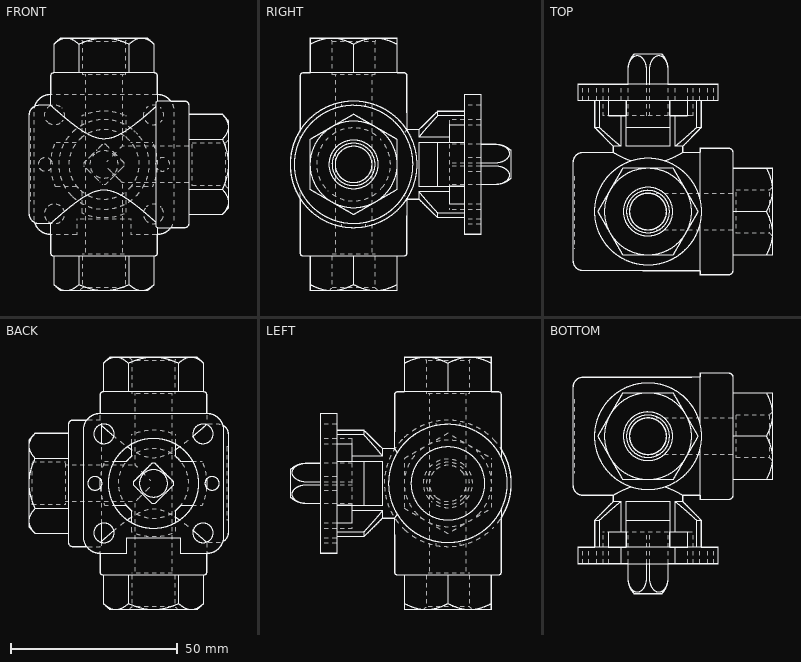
import cadquery as cq
import math


body_dia = 35.5
body_start_x = -22.5
body_end_fillet = 3.0
cap_recess_dia = 22.0
cap_recess_depth = 0.45
collar_dia = 38.0
collar_start_x = 15.6
collar_end_x = 25.5
collar_edge_fillet = 1.4

branch_dia = 32.0
branch_half_length = 27.5
branch_edge_fillet = 0.9

hex_flats = 26.05
hex_chamfer_height = 1.8
side_port_end_x = 37.3
branch_port_end_z = 37.85
bore_dia = 11.0
thread_dia = 12.8
thread_depth = 11.0
mouth_dia = 14.7
mouth_depth = (mouth_dia - thread_dia) / 2

neck_dia = 21.0
neck_shoulder_y = 19.6
core_end_y = 28.8
post_cone_end_y = 25.2
post_circle_dia = branch_dia
post_width = 13.2
mount_bore_dia = 27.0
plate_start_y = 33.2
plate_thickness = 5.0
plate_side = 42.0
plate_corner_radius = 5.0
plate_end_y = plate_start_y + plate_thickness

corner_hole_dia = 6.0
corner_hole_offset = 14.8
edge_hole_dia = 4.2
edge_hole_offset = 17.6
notch_width = 16.05
notch_depth = 4.7

stem_dia = 12.1
stem_flats = 9.15
stem_end_y = 47.2
stem_tip_dia = 8.3
stem_tip_start_y = 42.3


def rod(plane, start, end, diameter):
    """Cylinder along the normal of a plane, between two offsets."""
    return cq.Workplane(plane).workplane(offset=start).circle(diameter / 2).extrude(end - start)


def hex_port(length):
    """Hexagon along +Z from the origin, corners on X, with its end corners turned down."""
    corner_dia = hex_flats / math.cos(math.pi / 6)
    prism = cq.Workplane("XY").polygon(6, corner_dia).extrude(length)
    turned = rod("XY", 0, length, corner_dia).faces(">Z").chamfer(
        hex_chamfer_height, (corner_dia - hex_flats) / 2
    )
    return prism.intersect(turned)


def port_bore(length):
    """Bore along +Z from the origin, with a wider threaded end and a countersunk mouth."""
    thread = rod("XY", length - thread_depth, length, thread_dia)
    mouth = (
        cq.Workplane("XY").workplane(offset=length - mouth_depth).circle(thread_dia / 2)
        .workplane(offset=mouth_depth).circle(mouth_dia / 2).loft()
    )
    return rod("XY", 0, length, bore_dia).union(thread).union(mouth)


def toward_plus_x(shape):
    return shape.rotate((0, 0, 0), (0, 1, 0), 90)


def toward_minus_z(shape):
    return shape.rotate((0, 0, 0), (1, 0, 0), 180)


def make_housing():
    body = rod("YZ", body_start_x, collar_end_x, body_dia).faces("<X").edges().fillet(body_end_fillet)
    recess = rod("YZ", body_start_x, body_start_x + cap_recess_depth, cap_recess_dia)
    collar = rod("YZ", collar_start_x, collar_end_x, collar_dia)
    collar = collar.faces(">X").edges().fillet(collar_edge_fillet)
    branches = rod("XY", -branch_half_length, branch_half_length, branch_dia)
    branches = branches.faces("|Z").edges().fillet(branch_edge_fillet)
    return body.cut(recess).union(collar).union(branches)


def make_posts():
    """Four posts on a circle around Y, tapering down to the neck."""
    profile = [
        (0, neck_shoulder_y),
        (neck_dia / 2, neck_shoulder_y),
        (post_circle_dia / 2, post_cone_end_y),
        (post_circle_dia / 2, plate_start_y),
        (0, plate_start_y),
    ]
    envelope = cq.Workplane("XY").polyline(profile).close().revolve(360, (0, 0, 0), (0, 1, 0))
    height = plate_start_y - neck_shoulder_y
    middle_y = (plate_start_y + neck_shoulder_y) / 2
    cross = cq.Workplane("XY").box(post_circle_dia, height, post_width)
    cross = cross.union(cq.Workplane("XY").box(post_width, height, post_circle_dia))
    cross = cross.translate((0, middle_y, 0))
    return envelope.intersect(cross)


def make_plate():
    plate = cq.Workplane("XZ", origin=(0, plate_end_y, 0)).rect(plate_side, plate_side)
    plate = plate.extrude(plate_thickness).edges("|Y").fillet(plate_corner_radius)
    corner_holes = (
        cq.Workplane("XZ", origin=(0, plate_end_y, 0))
        .rect(2 * corner_hole_offset, 2 * corner_hole_offset, forConstruction=True)
        .vertices().circle(corner_hole_dia / 2).extrude(plate_thickness)
    )
    edge_holes = (
        cq.Workplane("XZ", origin=(0, plate_end_y, 0))
        .pushPoints([(-edge_hole_offset, 0), (edge_hole_offset, 0)])
        .circle(edge_hole_dia / 2).extrude(plate_thickness)
    )
    notch = (
        cq.Workplane("XZ", origin=(0, plate_end_y, -plate_side / 2))
        .rect(notch_width, 2 * notch_depth).extrude(plate_thickness)
    )
    return plate.cut(corner_holes).cut(edge_holes).cut(notch)


def make_stem():
    """Square stem standing on its corner, with rounded corners and a domed tip."""
    radius = stem_dia / 2
    tip_radius = stem_tip_dia / 2
    tip_height = stem_end_y - stem_tip_start_y
    inset = radius - tip_radius
    dome_radius = (tip_height**2 + inset**2) / (2 * inset)
    half_angle = math.asin(tip_height / dome_radius) / 2
    dome_middle = (
        radius - dome_radius * (1 - math.cos(half_angle)),
        stem_tip_start_y + dome_radius * math.sin(half_angle),
    )
    turned = (
        cq.Workplane("XY").moveTo(0, core_end_y).lineTo(radius, core_end_y)
        .lineTo(radius, stem_tip_start_y)
        .threePointArc(dome_middle, (tip_radius, stem_end_y))
        .lineTo(0, stem_end_y).close().revolve(360, (0, 0, 0), (0, 1, 0))
    )
    square_length = stem_end_y - core_end_y
    square = cq.Workplane("XY").box(stem_flats, square_length, stem_flats)
    square = square.translate((0, core_end_y + square_length / 2, 0)).rotate((0, 0, 0), (0, 1, 0), 45)
    return turned.intersect(square)


branch_port = hex_port(branch_port_end_z)
branch_bore = port_bore(branch_port_end_z)
side_port = toward_plus_x(hex_port(side_port_end_x))
side_bore = toward_plus_x(port_bore(side_port_end_x))

neck = rod("XZ", -core_end_y, 0, neck_dia)
mount_bore = rod("XZ", -plate_end_y, -core_end_y, mount_bore_dia)
mount = make_posts().union(make_plate()).cut(mount_bore)

result = make_housing().union(neck).union(mount).union(make_stem())
result = result.union(branch_port).union(toward_minus_z(branch_port)).union(side_port)
result = result.cut(branch_bore).cut(toward_minus_z(branch_bore)).cut(side_bore)